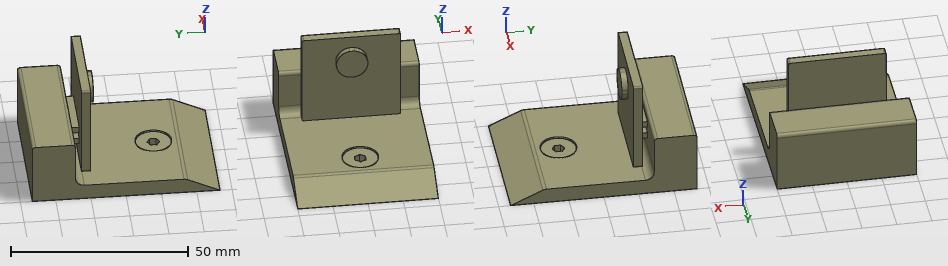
import cadquery as cq
import math

width = 40.0
length = 53.25
base_height = 4.55
wall_height = 18.45
wall_thickness = 12.25
wall_edge_radius = 1.0
inner_radius = 2.5
bevel_angle = 25.0
bevel_radius = 2.5

panel_width = 28.0
panel_thickness = 2.6
panel_top = 32.4
panel_bottom = 4.95
panel_corner_radius = 0.5
panel_gap = 2.35

bar_width = 15.6
bar_height = 1.8
bar_spacing = 3.8
lower_bar_z = 11.35

button_diameter = 8.95
button_across_flats = 8.85
button_thickness = 1.8
button_z = 24.4

screw_y = 16.85
recess_diameter = 10.4
recess_floor_diameter = 10.05
recess_depth = 0.35
socket_across_flats = 3.05
socket_depth = 2.5

wall_face_y = length - wall_thickness
panel_back_y = wall_face_y - panel_gap
panel_front_y = panel_back_y - panel_thickness


def box_between(size_x, y_front, y_back, z_low, z_high):
    """Box centred on X, between the given Y and Z limits."""
    box = cq.Workplane("XY").box(size_x, y_back - y_front, z_high - z_low, centered=(True, False, False))
    return box.translate((0, y_front, z_low))


def make_base():
    bevel_length = base_height / math.tan(math.radians(bevel_angle))
    profile = [
        (0, 0),
        (length, 0),
        (length, wall_height),
        (wall_face_y, wall_height),
        (wall_face_y, base_height),
        (bevel_length, base_height),
    ]
    body = cq.Workplane("YZ").polyline(profile).close().extrude(width / 2, both=True)

    def round_edge(solid, y, z, radius):
        edge = cq.selectors.NearestToPointSelector((0, y, z))
        return solid.edges("|X").edges(edge).fillet(radius)

    body = round_edge(body, length, wall_height, wall_edge_radius)
    body = round_edge(body, wall_face_y, wall_height, wall_edge_radius)
    body = round_edge(body, wall_face_y, base_height, inner_radius)
    return round_edge(body, bevel_length, base_height, bevel_radius)


def make_panel():
    panel = box_between(panel_width, panel_front_y, panel_back_y, panel_bottom, panel_top)
    return panel.edges("|Y").fillet(panel_corner_radius)


def make_bar(center_z):
    half_height = bar_height / 2
    return box_between(bar_width, panel_back_y, wall_face_y, center_z - half_height, center_z + half_height)


def make_button():
    face = cq.Workplane("XZ", origin=(0, panel_front_y, button_z))
    disc = face.circle(button_diameter / 2).extrude(button_thickness)
    flats = face.rect(button_across_flats, button_across_flats).extrude(button_thickness)
    return disc.intersect(flats)


def make_screw_recess():
    """Shallow tapered recess with the hexagonal socket below its floor."""
    recess = (
        cq.Workplane("XY", origin=(0, screw_y, base_height))
        .circle(recess_diameter / 2)
        .workplane(offset=-recess_depth)
        .circle(recess_floor_diameter / 2)
        .loft()
    )
    socket_corner_diameter = socket_across_flats / math.cos(math.radians(30))
    socket = (
        cq.Workplane("XY", origin=(0, screw_y, base_height - recess_depth))
        .transformed(rotate=(0, 0, 30))
        .polygon(6, socket_corner_diameter)
        .extrude(-socket_depth)
    )
    return recess.union(socket)


result = make_base().union(make_panel()).union(make_button())
for bar_z in (lower_bar_z, lower_bar_z + bar_spacing):
    result = result.union(make_bar(bar_z))
result = result.cut(make_screw_recess())